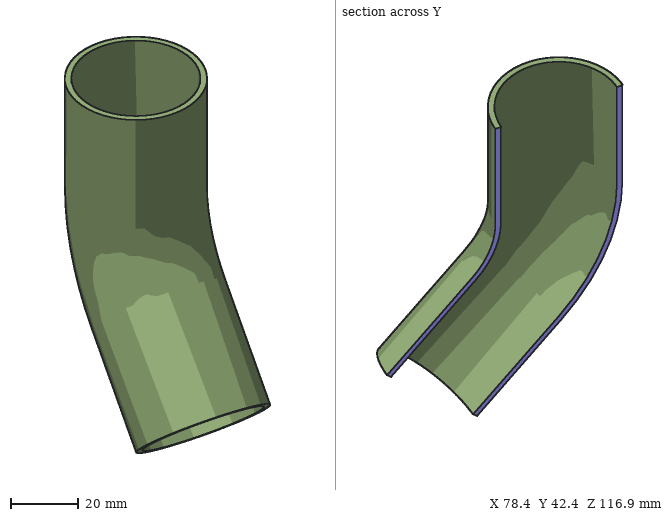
import cadquery as cq
import math

overall_height = 116.9
outer_diameter = 42.4
wall_thickness = 2.0
leg_length = 40.0
bend_angle = 45.0

outer_radius = outer_diameter / 2
inner_radius = outer_radius - wall_thickness
bend_sin = math.sin(math.radians(bend_angle))
bend_cos = math.cos(math.radians(bend_angle))

bend_radius = (overall_height - leg_length * (1 + bend_sin)) / bend_sin - outer_radius


def bend_point(angle):
    """Centreline point after turning through the given angle, in degrees."""
    turn = math.radians(angle)
    return (
        bend_radius * (1 - math.cos(turn)),
        -bend_radius * math.sin(turn),
    )


bend_end_x, bend_end_z = bend_point(bend_angle)
slanted_end = (
    bend_end_x + leg_length * bend_sin,
    bend_end_z - leg_length * bend_cos,
)
centreline = (
    cq.Workplane("XZ")
    .moveTo(0, leg_length)
    .lineTo(0, 0)
    .threePointArc(bend_point(bend_angle / 2), (bend_end_x, bend_end_z))
    .lineTo(*slanted_end)
)

result = (
    cq.Workplane("XY", origin=(0, 0, leg_length))
    .circle(outer_radius)
    .circle(inner_radius)
    .sweep(centreline)
)